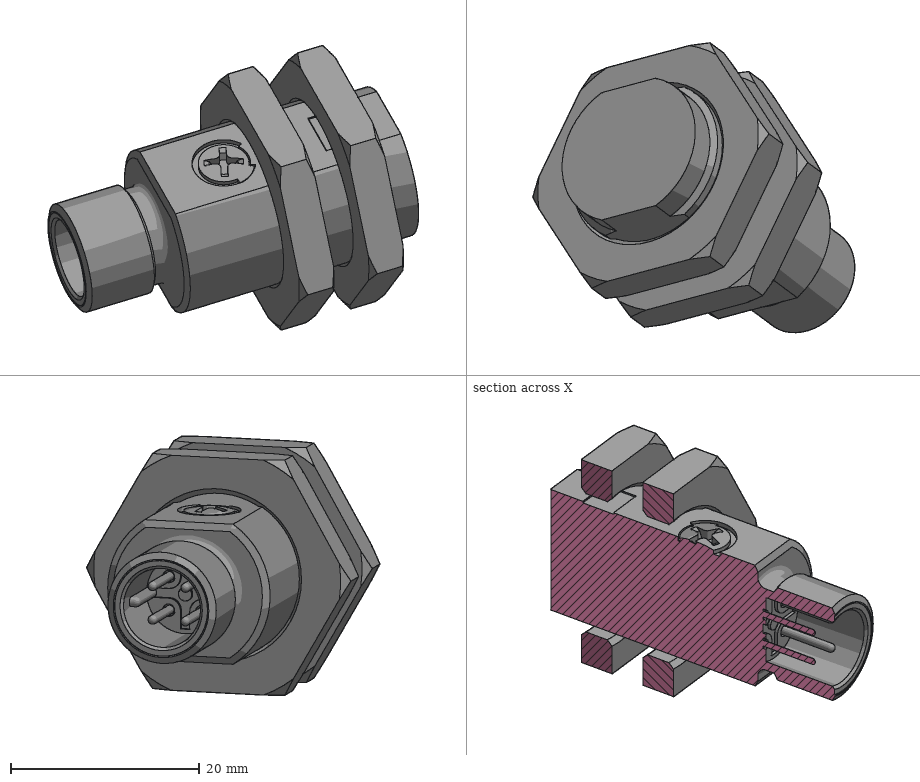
import cadquery as cq
import math


TOTAL_LENGTH = 37.0
COLLAR_END = 7.55
SHOULDER_Y = 10.03
THREAD_END = 33.65
SPIGOT_START = 34.0

THREAD_RADIUS = 9.0
SPIGOT_RADIUS = 8.25
CONNECTOR_RADIUS = 6.0
NECK_RADIUS = 5.33
NECK_FILLET = 0.95
FLAT_HEIGHT = 7.55

CHAMFER_LENGTH = 0.4
SHOULDER_CHAMFER_DEPTH = 0.75
CONNECTOR_CHAMFER_DEPTH = 0.7

SOCKET_RADIUS = 4.25
SOCKET_DEPTH = 9.0
SOCKET_CHAMFER = 0.3
RIM_RADIUS = 5.15
RIM_SETBACK = 0.07

PIN_RADIUS = 0.48
PIN_OFFSET = 1.8
PIN_TIP_Y = 2.5
PIN_WELL_RADIUS = 0.65
KEY_RADIUS = 0.5
KEY_CENTER_X = -3.65
FLOOR_RECESS_DEPTH = 0.37
FLOOR_CROSS_HALF_WIDTH = 0.5
FLOOR_CROSS_REACH = 3.77
FLOOR_CROSS_FILLET = 1.3
FLOOR_BOSS_RADIUS = 0.75

SCREW_Y = 18.02
SCREW_POCKET_RADIUS = 3.35
SCREW_POCKET_DEPTH = 0.5
SCREW_HEAD_RADIUS = 2.7
SCREW_TAB_RADIUS = 3.25
SCREW_STOP_RADIUS = 2.85
SCREW_DOME_HEIGHT = 0.37
SCREW_DOME_RADIUS = 8.88
SCREW_TAB_START = 10.0
SCREW_STOP_START = 63.0
SCREW_STOP_END = 124.0
SCREW_SLOT_TURN = -19.0
SCREW_SLOT_DEPTH = 1.2
SCREW_SLOT_HALF_WIDTH = 0.37
SCREW_SLOT_FILLET = 0.55
SCREW_SLOT_REACH = 2.1
SCREW_SLOT_KNEE_REACH = 1.55
SCREW_SLOT_KNEE_DEPTH = 0.48
SCREW_SLOT_FLOOR_REACH = 1.2

WINDOW_WIDTH = 5.1
WINDOW_DEPTH = 0.2
WINDOW_START = 28.8
WINDOW_LENGTH = 4.0

NUT_ACROSS_FLATS = 25.35
NUT_THICKNESS = 4.0
NUT_STARTS = [21.0, 29.0]
NUT_FACE_RADIUS = 13.65
NUT_CHAMFER_ANGLE = 30.0
NUT_BORE_RADIUS = 8.75
NUT_BORE_CHAMFER = 0.6


def revolve_about_y(profile):
    """Revolve a closed sketch drawn as (radius, Y) around the Y axis."""
    return profile.close().revolve(360, (0, 0, 0), (0, 1, 0))


def cylinder_y(radius, start, end, x=0.0, z=0.0):
    """Cylinder along +Y from start to end."""
    base = cq.Vector(x, start, z)
    return cq.Workplane(cq.Solid.makeCylinder(radius, end - start, base, cq.Vector(0, 1, 0)))


def make_body():
    """Threaded body with rear spigot, cut to two flats, chamfered around its front face."""
    turned = revolve_about_y(
        cq.Workplane("XY")
        .moveTo(0, SHOULDER_Y)
        .lineTo(THREAD_RADIUS - SHOULDER_CHAMFER_DEPTH, SHOULDER_Y)
        .lineTo(THREAD_RADIUS, SHOULDER_Y + CHAMFER_LENGTH)
        .lineTo(THREAD_RADIUS, THREAD_END)
        .lineTo(SPIGOT_RADIUS, SPIGOT_START)
        .lineTo(SPIGOT_RADIUS, TOTAL_LENGTH)
        .lineTo(0, TOTAL_LENGTH)
    )
    front_height = FLAT_HEIGHT - SHOULDER_CHAMFER_DEPTH
    flats = (
        cq.Workplane("YZ")
        .moveTo(SHOULDER_Y, -front_height)
        .lineTo(SHOULDER_Y + CHAMFER_LENGTH, -FLAT_HEIGHT)
        .lineTo(TOTAL_LENGTH, -FLAT_HEIGHT)
        .lineTo(TOTAL_LENGTH, FLAT_HEIGHT)
        .lineTo(SHOULDER_Y + CHAMFER_LENGTH, FLAT_HEIGHT)
        .lineTo(SHOULDER_Y, front_height)
        .close()
        .extrude(THREAD_RADIUS, both=True)
    )
    return turned.intersect(flats)


def make_connector():
    """Connector sleeve and its neck, with a fillet running into the shoulder."""
    chamfered_radius = CONNECTOR_RADIUS - CONNECTOR_CHAMFER_DEPTH
    fillet_bend = NECK_FILLET * (1 - math.sqrt(0.5))
    return revolve_about_y(
        cq.Workplane("XY")
        .moveTo(0, RIM_SETBACK)
        .lineTo(RIM_RADIUS, RIM_SETBACK)
        .lineTo(RIM_RADIUS, 0)
        .lineTo(chamfered_radius, 0)
        .lineTo(CONNECTOR_RADIUS, CHAMFER_LENGTH)
        .lineTo(CONNECTOR_RADIUS, COLLAR_END)
        .lineTo(NECK_RADIUS, COLLAR_END + CHAMFER_LENGTH)
        .lineTo(NECK_RADIUS, SHOULDER_Y - NECK_FILLET)
        .threePointArc(
            (NECK_RADIUS + fillet_bend, SHOULDER_Y - fillet_bend),
            (NECK_RADIUS + NECK_FILLET, SHOULDER_Y),
        )
        .lineTo(0, SHOULDER_Y)
    )


def make_socket():
    """Space of the blind socket with its entry chamfer."""
    return revolve_about_y(
        cq.Workplane("XY")
        .moveTo(0, RIM_SETBACK)
        .lineTo(SOCKET_RADIUS + SOCKET_CHAMFER, RIM_SETBACK)
        .lineTo(SOCKET_RADIUS, RIM_SETBACK + SOCKET_CHAMFER)
        .lineTo(SOCKET_RADIUS, SOCKET_DEPTH)
        .lineTo(0, SOCKET_DEPTH)
    )


def turn_point(x, y, angle):
    """The point (x, y) turned about the origin by an angle in degrees."""
    turn = math.radians(angle)
    return (
        x * math.cos(turn) - y * math.sin(turn),
        x * math.sin(turn) + y * math.cos(turn),
    )


def make_cross(plane, half_width, reach, fillet, depth):
    """Plus-shaped prism with rounded inner corners, extruded along the plane's normal."""
    arm_start = half_width + fillet
    bend = half_width + fillet * (1 - math.sqrt(0.5))
    outline = plane.moveTo(reach, -half_width)
    for angle in (0, 90, 180, 270):
        outline = (
            outline.lineTo(*turn_point(reach, half_width, angle))
            .lineTo(*turn_point(arm_start, half_width, angle))
            .threePointArc(turn_point(bend, bend, angle), turn_point(half_width, arm_start, angle))
            .lineTo(*turn_point(half_width, reach, angle))
        )
    return outline.close().extrude(depth)


def make_floor_recess():
    """Cross-shaped recess in the socket floor, around a central boss."""
    floor_plane = cq.Workplane(cq.Plane((0, SOCKET_DEPTH, 0), (1, 0, 0), (0, 1, 0)))
    cross = make_cross(
        floor_plane, FLOOR_CROSS_HALF_WIDTH, FLOOR_CROSS_REACH, FLOOR_CROSS_FILLET, FLOOR_RECESS_DEPTH
    )
    return cross.cut(cylinder_y(FLOOR_BOSS_RADIUS, SOCKET_DEPTH, SOCKET_DEPTH + FLOOR_RECESS_DEPTH))


def make_pin(x, z):
    """Contact pin with a hemispherical tip."""
    dome_y = PIN_TIP_Y + PIN_RADIUS
    shank = cylinder_y(PIN_RADIUS, dome_y, SOCKET_DEPTH + FLOOR_RECESS_DEPTH, x, z)
    tip = cq.Workplane().sphere(PIN_RADIUS).translate((x, dome_y, z))
    return shank.union(tip)


def make_key():
    """Round-nosed key rib on the -X wall of the socket, rounded at its front end too."""
    front_y = PIN_TIP_Y + KEY_RADIUS
    root_x = -(SOCKET_RADIUS + RIM_RADIUS) / 2
    root_length = KEY_CENTER_X - root_x
    web = cq.Workplane().box(
        root_length, SOCKET_DEPTH - front_y, 2 * KEY_RADIUS, centered=(False, False, True)
    ).translate((root_x, front_y, 0))
    front = cq.Workplane(
        cq.Solid.makeCylinder(KEY_RADIUS, root_length, cq.Vector(root_x, front_y, 0), cq.Vector(1, 0, 0))
    )
    nose = cylinder_y(KEY_RADIUS, front_y, SOCKET_DEPTH, KEY_CENTER_X)
    corner = cq.Workplane().sphere(KEY_RADIUS).translate((KEY_CENTER_X, front_y, 0))
    return web.union(front).union(nose).union(corner)


def disc_sector(radius, start_angle, end_angle, bottom, height):
    """Upright pie slice of a disc around the screw axis, angles counted from +X towards +Y."""
    slice_solid = cq.Solid.makeCylinder(radius, height, angleDegrees=end_angle - start_angle)
    turned_slice = cq.Workplane(slice_solid).rotate((0, 0, 0), (0, 0, 1), start_angle)
    return turned_slice.translate((0, SCREW_Y, bottom))


def make_screw_pocket():
    """Round pocket around the screw head, less the stop that fills one sector of it."""
    floor_z = FLAT_HEIGHT - SCREW_POCKET_DEPTH
    pocket = disc_sector(SCREW_POCKET_RADIUS, 0, 360, floor_z, SCREW_POCKET_DEPTH)
    stop = disc_sector(
        SCREW_POCKET_RADIUS, SCREW_STOP_START, SCREW_STOP_END, floor_z, SCREW_POCKET_DEPTH
    )
    stop_bore = disc_sector(SCREW_STOP_RADIUS, 0, 360, floor_z, SCREW_POCKET_DEPTH)
    return pocket.cut(stop.cut(stop_bore))


def make_screw_head():
    """Domed head with a tab that reaches almost to the pocket wall."""
    floor_z = FLAT_HEIGHT - SCREW_POCKET_DEPTH
    apex_z = FLAT_HEIGHT + SCREW_DOME_HEIGHT
    head_height = apex_z - floor_z
    blank = disc_sector(SCREW_HEAD_RADIUS, 0, 360, floor_z, head_height).union(
        disc_sector(SCREW_TAB_RADIUS, SCREW_TAB_START, SCREW_STOP_START, floor_z, head_height)
    )
    dome = cq.Workplane().sphere(SCREW_DOME_RADIUS).translate((0, SCREW_Y, apex_z - SCREW_DOME_RADIUS))
    return blank.intersect(dome)


def make_screw_slot():
    """Space of the cross slot: a plus-shaped prism inside a stepped cone that widens upwards."""
    apex_z = FLAT_HEIGHT + SCREW_DOME_HEIGHT
    rim_depth = SCREW_DOME_RADIUS - math.sqrt(SCREW_DOME_RADIUS**2 - SCREW_SLOT_REACH**2)
    cross = make_cross(
        cq.Workplane(), SCREW_SLOT_HALF_WIDTH, SCREW_SLOT_REACH, SCREW_SLOT_FILLET, SCREW_SLOT_DEPTH
    ).translate((0, 0, -SCREW_SLOT_DEPTH))
    cone = (
        cq.Workplane("XZ")
        .moveTo(0, -SCREW_SLOT_DEPTH)
        .lineTo(SCREW_SLOT_FLOOR_REACH, -SCREW_SLOT_DEPTH)
        .lineTo(SCREW_SLOT_KNEE_REACH, -SCREW_SLOT_KNEE_DEPTH)
        .lineTo(SCREW_SLOT_REACH, -rim_depth)
        .lineTo(SCREW_SLOT_REACH, 0)
        .lineTo(0, 0)
        .close()
        .revolve(360, (0, 0, 0), (0, 1, 0))
    )
    slot = cross.intersect(cone)
    return slot.rotate((0, 0, 0), (0, 0, 1), SCREW_SLOT_TURN).translate((0, SCREW_Y, apex_z))


def make_window():
    """Space of the shallow rectangular window in the top flat, covered mostly by the rear nut."""
    return (
        cq.Workplane()
        .box(WINDOW_WIDTH, WINDOW_LENGTH, WINDOW_DEPTH, centered=(True, False, False))
        .translate((0, WINDOW_START, FLAT_HEIGHT - WINDOW_DEPTH))
    )


def make_housing(body):
    """Housing with its connector, contacts and trimmer screw as one solid."""
    housing = body.union(make_connector()).cut(make_socket()).cut(make_floor_recess())
    for x in (-PIN_OFFSET, PIN_OFFSET):
        for z in (-PIN_OFFSET, PIN_OFFSET):
            well = cylinder_y(PIN_WELL_RADIUS, SOCKET_DEPTH, SOCKET_DEPTH + FLOOR_RECESS_DEPTH, x, z)
            housing = housing.cut(well).union(make_pin(x, z))
    housing = housing.union(make_key())
    housing = housing.cut(make_screw_pocket()).union(make_screw_head()).cut(make_screw_slot())
    return housing.cut(make_window())


def make_nut(start, body):
    """Hexagon nut with chamfered corners and bore; its thread bore fits around the body."""
    end = start + NUT_THICKNESS
    corner_radius = NUT_ACROSS_FLATS / math.sqrt(3)
    chamfer_length = (corner_radius - NUT_FACE_RADIUS) * math.tan(math.radians(NUT_CHAMFER_ANGLE))
    hexagon = (
        cq.Workplane(cq.Plane((0, start, 0), (1, 0, 0), (0, 1, 0)))
        .polygon(6, 2 * corner_radius)
        .extrude(NUT_THICKNESS)
    )
    bore_mouth_radius = NUT_BORE_RADIUS + NUT_BORE_CHAMFER
    ring = revolve_about_y(
        cq.Workplane("XY")
        .moveTo(bore_mouth_radius, start)
        .lineTo(NUT_FACE_RADIUS, start)
        .lineTo(corner_radius, start + chamfer_length)
        .lineTo(corner_radius, end - chamfer_length)
        .lineTo(NUT_FACE_RADIUS, end)
        .lineTo(bore_mouth_radius, end)
        .lineTo(NUT_BORE_RADIUS, end - NUT_BORE_CHAMFER)
        .lineTo(NUT_BORE_RADIUS, start + NUT_BORE_CHAMFER)
    )
    return hexagon.intersect(ring).cut(body)


threaded_body = make_body()
housing = make_housing(threaded_body)
nuts = [make_nut(start, threaded_body) for start in NUT_STARTS]

result = cq.Compound.makeCompound([housing.val(), *[nut.val() for nut in nuts]])